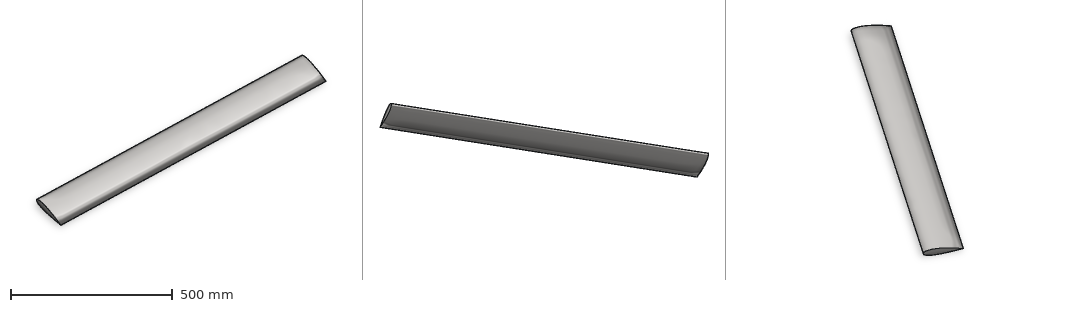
import cadquery as cq

span = 1020.0
chord = 127.0
thickness = 27.0
tail_drop = 5.0
station_count = 16


def half_thickness(fraction):
    """NACA four-digit thickness law with a closed trailing edge."""
    x = fraction
    law = 0.2969 * x**0.5 - 0.126 * x - 0.3516 * x**2 + 0.2843 * x**3 - 0.1036 * x**4
    return 5 * thickness * law


def mean_line(fraction):
    """Height of the mean line, level at the nose and drooping towards the tail."""
    return -tail_drop * fraction**3


def surface_points(side):
    """Points from nose to tail on the upper (side = 1) or lower (side = -1) surface."""
    points = []
    for station in range(1, station_count):
        fraction = (station / station_count) ** 2
        height = mean_line(fraction) + side * half_thickness(fraction)
        points.append((chord * fraction, height))
    return points


nose = (0, 0)
tail = (chord, -tail_drop)
upper_surface = surface_points(1)
lower_surface = surface_points(-1)

section = (
    cq.Workplane("XZ", origin=(0, span / 2, 0))
    .moveTo(*tail)
    .spline(upper_surface[::-1] + [nose] + lower_surface + [tail], includeCurrent=True)
    .close()
)

result = section.extrude(span)